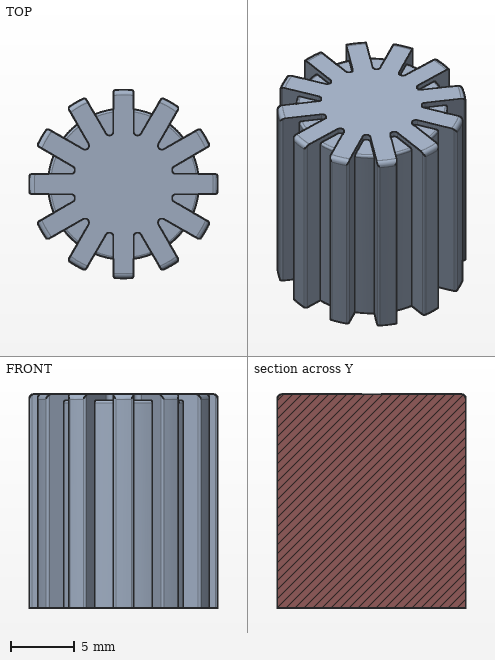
import cadquery as cq
import math

HEIGHT = 17.0
TIP_RADIUS = 7.5

BLADE_COUNT = 12
BLADE_PITCH_ANGLE = 360 / BLADE_COUNT
BLADE_WIDTH = 1.6
TOP_RIM_FILLET = 0.4
TIP_SIDE_FILLET = 0.2

HUB_RADIUS = 4.0
HALF_SLOT_SINE = math.sin(math.radians(BLADE_PITCH_ANGLE / 2))
SLOT_APEX_RADIUS = BLADE_WIDTH / 2 / HALF_SLOT_SINE
SLOT_ROOT_FILLET = (HUB_RADIUS - SLOT_APEX_RADIUS) * HALF_SLOT_SINE / (1 - HALF_SLOT_SINE)

DRUM_RADIUS = 6.0
DRUM_DROP = 0.5
DRUM_HEIGHT = HEIGHT - DRUM_DROP
DRUM_FILLET = 0.2


def rounded_cylinder(radius, height, rim_fillet):
    """Upright cylinder with a rounded top rim."""
    return cq.Workplane("XY").circle(radius).extrude(height).faces(">Z").edges().fillet(rim_fillet)


def axis_distance(edge):
    """Distance of an edge's centre from the Z axis."""
    center = edge.Center()
    return math.hypot(center.x, center.y)


def make_crossbar(angle):
    """Full-height bar through the axis, forming two opposite blades."""
    length = 2 * TIP_RADIUS + BLADE_WIDTH
    bar = cq.Workplane("XY").rect(length, BLADE_WIDTH).extrude(HEIGHT)
    return bar.rotate((0, 0, 0), (0, 0, 1), angle)


def make_blade_star():
    """All blades, with rounded slot roots, tip corners and top rim."""
    star = make_crossbar(0)
    for index in range(1, BLADE_COUNT // 2):
        star = star.union(make_crossbar(index * BLADE_PITCH_ANGLE))
    star = star.intersect(cq.Workplane("XY").circle(TIP_RADIUS).extrude(HEIGHT))

    star = star.edges("|Z").filter(lambda edge: axis_distance(edge) < HUB_RADIUS).fillet(SLOT_ROOT_FILLET)
    star = star.edges("|Z").filter(lambda edge: axis_distance(edge) > DRUM_RADIUS).fillet(TIP_SIDE_FILLET)
    return star.intersect(rounded_cylinder(TIP_RADIUS, HEIGHT, TOP_RIM_FILLET))


drum = rounded_cylinder(DRUM_RADIUS, DRUM_HEIGHT, DRUM_FILLET)
result = make_blade_star().union(drum)